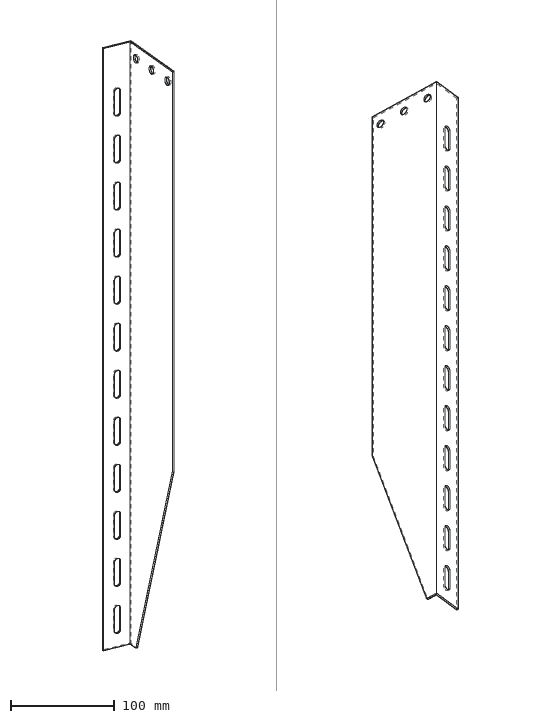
import cadquery as cq

height = 640.0
web_width = 82.0
flange_depth = 32.0
thickness = 2.0

foot_width = 13.0
taper_height = 216.0

hole_diameter = 8.0
hole_count = 3
hole_drop = 14.0
first_hole_x = 12.0
last_hole_margin = 10.0
hole_pitch = (web_width - last_hole_margin - first_hole_x) / (hole_count - 1)

slot_count = 12
slot_length = 29.5
slot_width = 7.0
first_slot_z = 29.5
last_slot_drop = 61.0
slot_pitch = (height - last_slot_drop - first_slot_z) / (slot_count - 1)


def make_web():
    """Wide plate in the XZ plane, with its outer face at Y = 0."""
    outline = [
        (0, 0),
        (foot_width, 0),
        (web_width, taper_height),
        (web_width, height),
        (0, height),
    ]
    return cq.Workplane("XZ").polyline(outline).close().extrude(thickness)


def make_flange():
    """Narrow plate in the YZ plane, bent toward -Y along the web's left edge."""
    flange = cq.Workplane("XY").box(thickness, flange_depth, height, centered=False)
    return flange.translate((0, -flange_depth, 0))


def make_web_holes():
    centers = [(first_hole_x + i * hole_pitch, height - hole_drop) for i in range(hole_count)]
    return cq.Workplane("XZ").pushPoints(centers).circle(hole_diameter / 2).extrude(thickness)


def make_flange_slots():
    """Upright round-ended slots, centered across the flange."""
    centers = [(-flange_depth / 2, first_slot_z + i * slot_pitch) for i in range(slot_count)]
    return cq.Workplane("YZ").pushPoints(centers).slot2D(slot_length, slot_width, 90).extrude(thickness)


result = make_web().union(make_flange()).cut(make_web_holes()).cut(make_flange_slots())